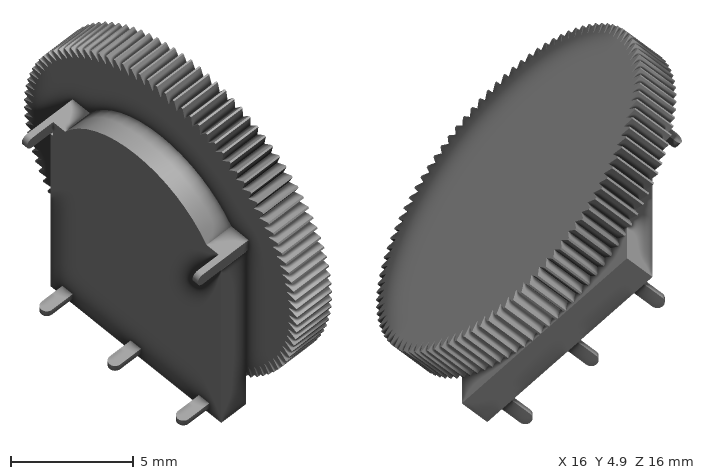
import cadquery as cq
import math

wheel_diameter = 16.0
wheel_thickness = 2.0
tooth_count = 100
tooth_depth = 0.5
tooth_tip_width = 0.088

overall_depth = 4.9
body_thickness = 1.4
body_width = 10.0
shoulder_height = 2.8
notch_height = 1.9

pin_width = 0.6
pin_thickness = 0.3
pin_spacing = 4.0
pin_rise = 0.5

wheel_radius = wheel_diameter / 2
body_bottom = -wheel_radius
body_front = -body_thickness
pin_front = wheel_thickness - overall_depth


def point_at(radius, angle):
    return (radius * math.cos(angle), radius * math.sin(angle))


def extrude_along_y(profile, y_start, y_end):
    """Extrude a profile drawn in (X, Z) from y_start to y_end."""
    return profile.extrude(y_start - y_end).translate((0, y_start, 0))


def make_wheel():
    pitch = 2 * math.pi / tooth_count
    root_radius = wheel_radius - tooth_depth
    half_tip_angle = tooth_tip_width / 2 / wheel_radius
    outline = []
    for tooth in range(tooth_count):
        root_angle = tooth * pitch
        tip_angle = root_angle + pitch / 2
        outline.append(point_at(root_radius, root_angle))
        outline.append(point_at(wheel_radius, tip_angle - half_tip_angle))
        outline.append(point_at(wheel_radius, tip_angle + half_tip_angle))
    profile = cq.Workplane("XZ").polyline(outline).close()
    return extrude_along_y(profile, 0, wheel_thickness)


def make_body():
    half_width = body_width / 2
    dome_radius = half_width
    neck_half_width = half_width - pin_thickness / 2
    dome_end = math.sqrt(dome_radius**2 - shoulder_height**2)
    profile = (
        cq.Workplane("XZ")
        .moveTo(-half_width, body_bottom)
        .lineTo(half_width, body_bottom)
        .lineTo(half_width, notch_height)
        .lineTo(neck_half_width, notch_height)
        .lineTo(neck_half_width, shoulder_height)
        .lineTo(dome_end, shoulder_height)
        .threePointArc((0, dome_radius), (-dome_end, shoulder_height))
        .lineTo(-neck_half_width, shoulder_height)
        .lineTo(-neck_half_width, notch_height)
        .lineTo(-half_width, notch_height)
        .close()
    )
    return extrude_along_y(profile, body_front, 0)


def make_pin(y_root):
    """Pin along -Y from y_root, with its width along X and its thickness centred on Z = 0."""
    half_width = pin_width / 2
    rounding_start = pin_front + half_width
    return (
        cq.Workplane("XY")
        .moveTo(half_width, y_root)
        .lineTo(half_width, rounding_start)
        .threePointArc((0, pin_front), (-half_width, rounding_start))
        .lineTo(-half_width, y_root)
        .close()
        .extrude(pin_thickness / 2, both=True)
    )


result = make_wheel().union(make_body())

bottom_pin = make_pin(body_front)
for place in (-1, 0, 1):
    result = result.union(bottom_pin.translate((place * pin_spacing, 0, body_bottom + pin_rise)))

side_pin = make_pin(0).rotate((0, 0, 0), (0, 1, 0), 90)
for side in (-1, 1):
    result = result.union(side_pin.translate((side * body_width / 2, 0, shoulder_height - pin_width / 2)))